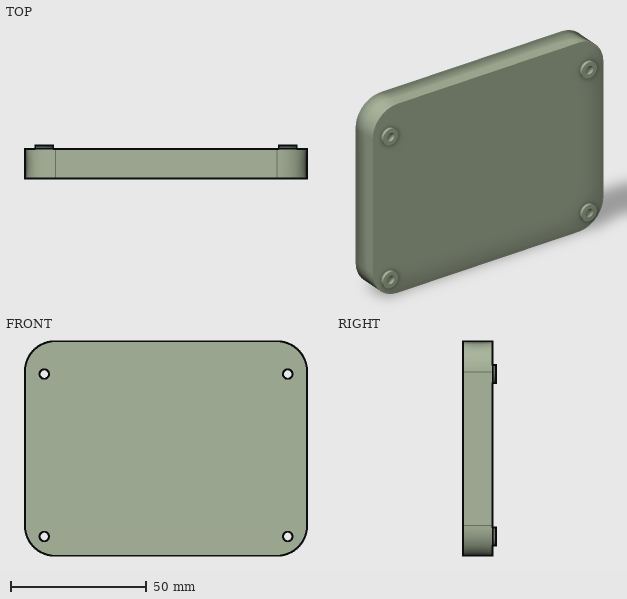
import cadquery as cq

length = 104.4
height = 79.5
overall_depth = 12.2
boss_height = 1.3
plate_thickness = overall_depth - boss_height
corner_radius = 11.3

boss_diameter = 6.8
hole_diameter = 3.4
hole_edge_distance = 7.2
hole_spacing_z = 60.0

hole_x = length / 2 - hole_edge_distance
lower_hole_z = -height / 2 + hole_edge_distance
upper_hole_z = lower_hole_z + hole_spacing_z
hole_centers = [(x, z) for x in (-hole_x, hole_x) for z in (lower_hole_z, upper_hole_z)]


def xz_plane(y):
    """Plane at the given Y with local axes X and Z; its normal points to -Y."""
    return cq.Workplane("XZ", origin=(0, y, 0))


def make_plate():
    """Rounded rectangular plate with its plain face at Y = 0."""
    return xz_plane(0).rect(length, height).extrude(-plate_thickness).edges("|Y").fillet(corner_radius)


def make_bosses():
    """Short round bosses standing on the back of the plate."""
    return xz_plane(plate_thickness).pushPoints(hole_centers).circle(boss_diameter / 2).extrude(-boss_height)


def make_holes():
    """Cylinders that cut through both the plate and the bosses."""
    return xz_plane(0).pushPoints(hole_centers).circle(hole_diameter / 2).extrude(-overall_depth)


result = make_plate().union(make_bosses()).cut(make_holes())